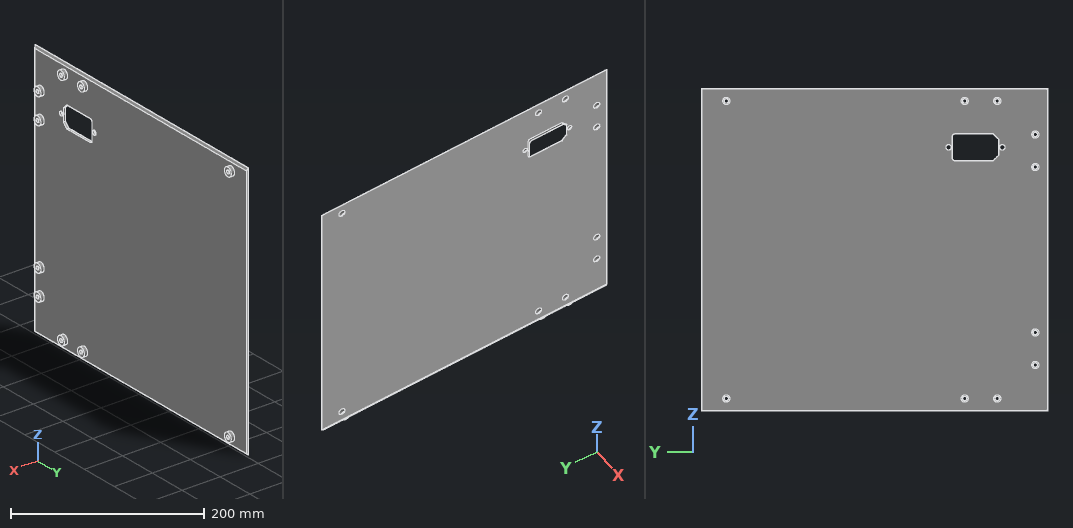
import cadquery as cq

width = 358.0
height = 333.3
total_depth = 7.0
plate_thickness = 3.0
outer_face_x = -total_depth / 2
inner_face_x = outer_face_x + plate_thickness
bevel = 2.58

standoff_diameter = 11.5
standoff_bore_diameter = 4.3
counterbore_diameter = 7.5
counterbore_depth = 4.0
edge_row_z = 154.0
edge_row_y = (153.5, -93.0, -126.7)
side_column_y = -166.0
side_column_z = (119.2, 85.5)

socket_y = -104.0
socket_z = 106.0
socket_width = 48.0
socket_height = 27.5
socket_chamfer = 5.7
socket_fillet = 3.0
socket_hole_spacing = 55.5
socket_hole_diameter = 5.5


def yz_plane(x):
    """Sketch plane at the given X: local x is Y, local y is Z, normal is +X."""
    return cq.Workplane("YZ", origin=(x, 0, 0))


def make_plate():
    """Plate bevelled to a sharp outer edge at top, bottom and -Y; the +Y edge is square."""
    half_width = width / 2
    half_height = height / 2
    bevelled_section = [
        (outer_face_x, -half_height),
        (outer_face_x, half_height),
        (inner_face_x, half_height - bevel),
        (inner_face_x, -half_height + bevel),
    ]
    side_wedge = [
        (outer_face_x, -half_width),
        (inner_face_x, -half_width),
        (inner_face_x, -half_width + bevel),
    ]
    plate = cq.Workplane("XZ").polyline(bevelled_section).close().extrude(half_width, both=True)
    waste = cq.Workplane("XY").polyline(side_wedge).close().extrude(half_height, both=True)
    return plate.cut(waste)


def standoff_points():
    """Centres of all standoffs as (Y, Z), mirrored about Z = 0."""
    upper = [(y, edge_row_z) for y in edge_row_y]
    upper += [(side_column_y, z) for z in side_column_z]
    return upper + [(y, -z) for y, z in upper]


def cylinders(points, diameter, start_x, length):
    return yz_plane(start_x).pushPoints(points).circle(diameter / 2).extrude(length)


def make_socket_cutter():
    """Opening with chamfered -Y corners and rounded +Y corners, plus its fixing holes."""
    opening = (
        yz_plane(outer_face_x)
        .center(socket_y, socket_z)
        .rect(socket_width, socket_height)
        .extrude(plate_thickness)
        .edges("|X and <Y")
        .chamfer(socket_chamfer)
        .edges("|X and >Y")
        .fillet(socket_fillet)
    )
    half_spacing = socket_hole_spacing / 2
    hole_points = [(socket_y + side * half_spacing, socket_z) for side in (-1, 1)]
    holes = cylinders(hole_points, socket_hole_diameter, outer_face_x, plate_thickness)
    return opening.union(holes)


points = standoff_points()
standoffs = cylinders(points, standoff_diameter, inner_face_x, total_depth - plate_thickness)
bores = cylinders(points, standoff_bore_diameter, outer_face_x, total_depth)
counterbores = cylinders(points, counterbore_diameter, outer_face_x, counterbore_depth)

result = make_plate().union(standoffs).cut(bores).cut(counterbores).cut(make_socket_cutter())